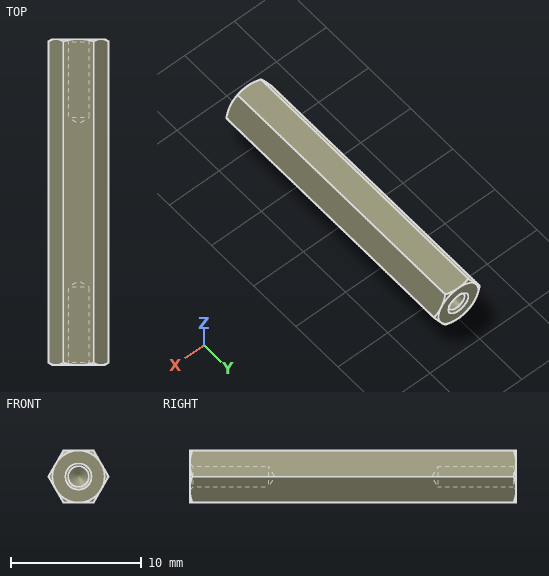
import cadquery as cq
import math

length = 25.0
across_flats = 4.0
across_corners = across_flats / math.cos(math.radians(30))

corner_angle = 30.0
corner_radial = (across_corners - across_flats) / 2
corner_axial = corner_radial * math.tan(math.radians(corner_angle))

hole_diameter = 1.6
mouth_diameter = 2.0
hole_depth = 6.0
drill_point_angle = 118.0


def hexagon_body():
    return (
        cq.Workplane("XZ")
        .polygon(6, across_corners)
        .extrude(length / 2, both=True)
    )


def corner_trim():
    half_length = length / 2
    end_radius = across_flats / 2
    corner_radius = across_corners / 2
    return (
        cq.Workplane("XY")
        .moveTo(0, -half_length)
        .lineTo(end_radius, -half_length)
        .lineTo(corner_radius, -half_length + corner_axial)
        .lineTo(corner_radius, half_length - corner_axial)
        .lineTo(end_radius, half_length)
        .lineTo(0, half_length)
        .close()
        .revolve(360, (0, 0, 0), (0, 1, 0))
    )


def end_hole():
    end_face = -length / 2
    hole_radius = hole_diameter / 2
    mouth_radius = mouth_diameter / 2
    countersink_depth = mouth_radius - hole_radius
    point_depth = hole_radius / math.tan(math.radians(drill_point_angle / 2))
    return (
        cq.Workplane("XY")
        .moveTo(0, end_face)
        .lineTo(mouth_radius, end_face)
        .lineTo(hole_radius, end_face + countersink_depth)
        .lineTo(hole_radius, end_face + hole_depth)
        .lineTo(0, end_face + hole_depth + point_depth)
        .close()
        .revolve(360, (0, 0, 0), (0, 1, 0))
    )


front_hole = end_hole()
back_hole = front_hole.mirror("XZ")
result = hexagon_body().intersect(corner_trim()).cut(front_hole).cut(back_hole)